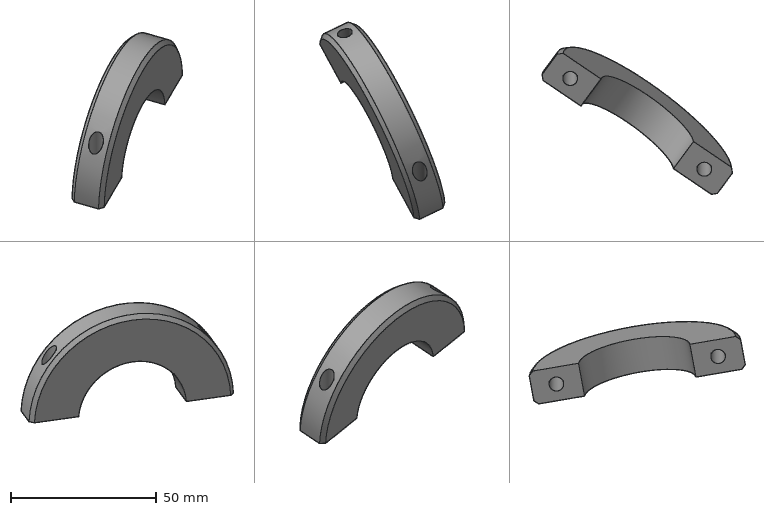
import cadquery as cq
import math

length = 73.95
thickness = 12.0
split_offset = 1.5
bore_radius = 19.5
rim_chamfer = 1.5
bolt_diameter = 5.0
bolt_spacing = 56.5

outer_radius = math.hypot(length / 2, split_offset)


def full_ring():
    """Ring centred on the origin, with both outer rims chamfered."""
    disc = (
        cq.Workplane("YZ")
        .circle(outer_radius)
        .extrude(thickness / 2, both=True)
        .faces("<X or >X")
        .chamfer(rim_chamfer)
    )
    bore = cq.Workplane("YZ").circle(bore_radius).extrude(thickness / 2, both=True)
    return disc.cut(bore)


def space_above_split():
    """Block covering everything on the kept side of the split face."""
    return (
        cq.Workplane("XY", origin=(0, 0, split_offset))
        .rect(thickness, 2 * outer_radius)
        .extrude(outer_radius)
    )


def bolt_holes():
    """Two vertical through holes, one in each leg of the clamp."""
    return (
        cq.Workplane("XY")
        .pushPoints([(0, side * bolt_spacing / 2) for side in (-1, 1)])
        .circle(bolt_diameter / 2)
        .extrude(outer_radius)
    )


result = full_ring().intersect(space_above_split()).cut(bolt_holes())